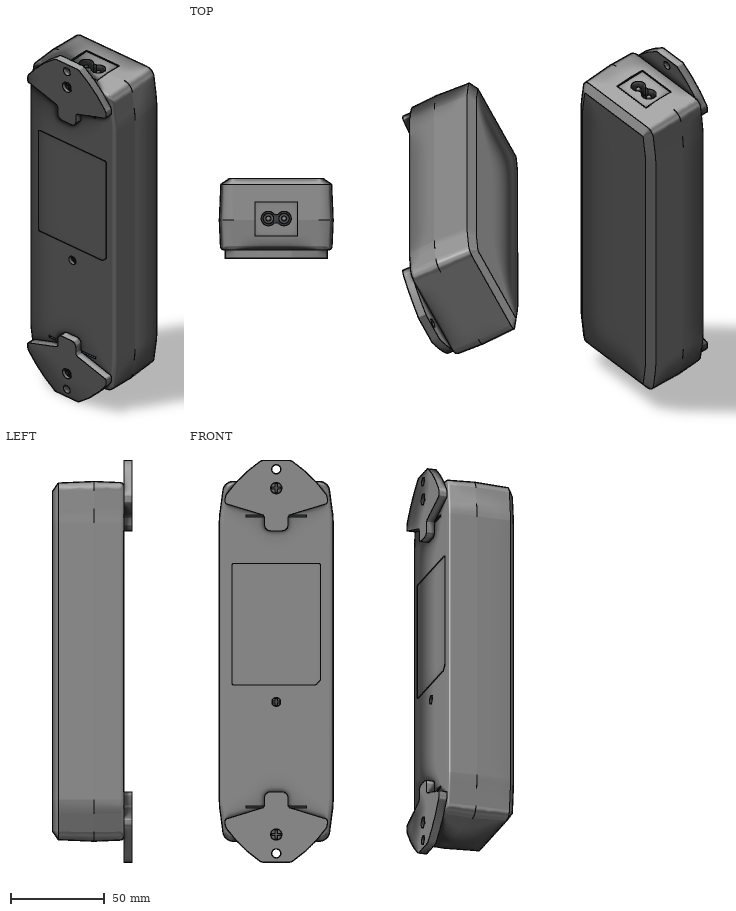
import cadquery as cq
import math

LENGTH = 214.5
BRACKET_THICKNESS = 4.5
HOUSING_DEPTH = 38.2

HALF_WIDTH = 30.5
HALF_HEIGHT = 96.1
STRAIGHT_END_Z = 74.0
BEND_END = (29.8, 81.3)
CORNER_START = (28.5, 91.2)
CORNER_END_X = 23.0
PARTING_Y = 15.9
DRAFT_ANGLE = 2.5

FRONT_FILLET = 2.0
BACK_CHAMFER_INSET = 4.5
BACK_CHAMFER_DEPTH = 3.2

LABEL_WIDTH = 47.2
LABEL_TOP_Z = 52.4
LABEL_BOTTOM_Z = -12.7
LABEL_CHAMFER = 2.5
LABEL_FILLET = 1.0
LABEL_DEPTH = 0.2

SLOT_WIDTH = 32.2
SLOT_HEIGHT = 1.0
SLOT_DEPTH = 2.1
SLOT_Z = 77.7

INLET_WIDTH = 22.7
INLET_Y_MIN = 7.3
INLET_Y_MAX = 25.5
INLET_FACE_Z = 95.0
SOCKET_Y = 16.7
SOCKET_RADIUS = 3.9
SOCKET_NECK = 4.5
SOCKET_DEPTH = 8.5
PIN_SPACING = 8.4
COLLAR_RADIUS = 2.8
COLLAR_HEIGHT = 2.1
PIN_RADIUS = 1.3
PIN_HEIGHT = 7.0
PIN_TIP_FILLET = 0.6

HOUSING_SCREW_Z = -21.7
HOUSING_SCREW_DIAMETER = 4.7
BRACKET_SCREW_Z = 92.5
BRACKET_SCREW_DIAMETER = 6.0
SCREW_RECESS_DEPTH = 2.1
CROSS_SLOT_WIDTH = 1.0
CROSS_SLOT_DEPTH = 1.0
CROSS_SPAN_RATIO = 0.8

TIP_HALF_WIDTH = 8.0
SHOULDER_HALF_WIDTH = 27.3
SHOULDER_TOP_Z = 88.2
SHOULDER_BOTTOM_Z = 84.3
TAB_HALF_WIDTH = 6.2
TAB_ROOT_Z = 77.9
TAB_END_Z = 69.7
EDGE_BULGE = 1.3
TIP_FILLET = 3.2
SHOULDER_TOP_FILLET = 4.3
SHOULDER_BOTTOM_FILLET = 1.0
TAB_FILLET = 3.0
TAB_ROOT_FILLET = 2.1
MOUNT_HOLE_Z = 102.5
MOUNT_HOLE_DIAMETER = 4.7


def housing_outline(workplane):
    """Long rounded outline whose sides bend inwards near both ends."""
    bend_x, bend_z = BEND_END
    corner_x, corner_z = CORNER_START
    return (
        workplane.moveTo(HALF_WIDTH, -STRAIGHT_END_Z)
        .lineTo(HALF_WIDTH, STRAIGHT_END_Z)
        .tangentArcPoint((bend_x, bend_z), relative=False)
        .lineTo(corner_x, corner_z)
        .tangentArcPoint((CORNER_END_X, HALF_HEIGHT), relative=False)
        .lineTo(-CORNER_END_X, HALF_HEIGHT)
        .tangentArcPoint((-corner_x, corner_z), relative=False)
        .lineTo(-bend_x, bend_z)
        .tangentArcPoint((-HALF_WIDTH, STRAIGHT_END_Z), relative=False)
        .lineTo(-HALF_WIDTH, -STRAIGHT_END_Z)
        .tangentArcPoint((-bend_x, -bend_z), relative=False)
        .lineTo(-corner_x, -corner_z)
        .tangentArcPoint((-CORNER_END_X, -HALF_HEIGHT), relative=False)
        .lineTo(CORNER_END_X, -HALF_HEIGHT)
        .tangentArcPoint((corner_x, -corner_z), relative=False)
        .lineTo(bend_x, -bend_z)
        .tangentArcPoint((HALF_WIDTH, -STRAIGHT_END_Z), relative=False)
        .close()
    )


def parting_plane(normal_y):
    return cq.Workplane(cq.Plane((0, PARTING_Y, 0), xDir=(1, 0, 0), normal=(0, normal_y, 0)))


def front_shell():
    shell = housing_outline(parting_plane(-1)).extrude(PARTING_Y, taper=DRAFT_ANGLE)
    return shell.faces("<Y").edges().fillet(FRONT_FILLET)


def back_shell():
    """Drafted shell with a flat back face chamfered all round."""
    shell = housing_outline(parting_plane(1)).extrude(HOUSING_DEPTH - PARTING_Y, taper=DRAFT_ANGLE)
    return shell.faces(">Y").edges().chamfer(BACK_CHAMFER_DEPTH, BACK_CHAMFER_INSET)


def screw_recess(diameter, face_y, z):
    """Round recess into +Y with a cross drive below its floor."""
    recess = cq.Workplane("XZ", origin=(0, face_y, z)).circle(diameter / 2).extrude(-SCREW_RECESS_DEPTH)
    floor = cq.Workplane("XZ", origin=(0, face_y + SCREW_RECESS_DEPTH, z))
    span = CROSS_SPAN_RATIO * diameter
    for slot_x, slot_z in ((span, CROSS_SLOT_WIDTH), (CROSS_SLOT_WIDTH, span)):
        recess = recess.union(floor.rect(slot_x, slot_z).extrude(-CROSS_SLOT_DEPTH))
    return recess


def label_recess():
    height = LABEL_TOP_Z - LABEL_BOTTOM_Z
    recess = cq.Workplane("XY").box(LABEL_WIDTH, 2 * LABEL_DEPTH, height)
    recess = recess.edges("|Y and >X and <Z").chamfer(LABEL_CHAMFER)
    recess = recess.edges("|Y and (>Z or (<X and <Z))").fillet(LABEL_FILLET)
    return recess.translate((0, 0, (LABEL_TOP_Z + LABEL_BOTTOM_Z) / 2))


def latch_slot(z):
    return cq.Workplane("XZ", origin=(0, 0, z)).rect(SLOT_WIDTH, SLOT_HEIGHT).extrude(-SLOT_DEPTH)


def inlet_recess():
    """Flat rectangular seat with a figure-eight socket sunk below it."""
    seat = (
        cq.Workplane("XY", origin=(0, (INLET_Y_MIN + INLET_Y_MAX) / 2, INLET_FACE_Z))
        .rect(INLET_WIDTH, INLET_Y_MAX - INLET_Y_MIN)
        .extrude(HALF_HEIGHT - INLET_FACE_Z)
    )
    face = cq.Workplane("XY", origin=(0, SOCKET_Y, INLET_FACE_Z))
    socket = face.rect(PIN_SPACING, SOCKET_NECK).extrude(-SOCKET_DEPTH)
    lobes = face.rarray(PIN_SPACING, 2.1, 2, 1).circle(SOCKET_RADIUS).extrude(-SOCKET_DEPTH)
    return seat.union(socket).union(lobes)


def inlet_pins():
    """Two round-tipped contact pins, each standing on a collar at the socket floor."""
    floor = cq.Workplane("XY", origin=(0, SOCKET_Y, INLET_FACE_Z - SOCKET_DEPTH)).rarray(PIN_SPACING, 2.1, 2, 1)
    collars = floor.circle(COLLAR_RADIUS).extrude(COLLAR_HEIGHT)
    pins = floor.circle(PIN_RADIUS).extrude(PIN_HEIGHT).faces(">Z").edges().fillet(PIN_TIP_FILLET)
    return collars.union(pins)


def make_housing():
    body = front_shell().union(back_shell())
    body = body.cut(label_recess())
    body = body.cut(screw_recess(HOUSING_SCREW_DIAMETER, 0, HOUSING_SCREW_Z))
    for z in (SLOT_Z, -SLOT_Z):
        body = body.cut(latch_slot(z))
    return body.cut(inlet_recess()).union(inlet_pins())


def bulged_midpoint(start, end, bulge):
    """Middle of a segment, moved sideways to the left of its direction."""
    dx = end[0] - start[0]
    dz = end[1] - start[1]
    length = math.hypot(dx, dz)
    return (
        (start[0] + end[0]) / 2 - bulge * dz / length,
        (start[1] + end[1]) / 2 + bulge * dx / length,
    )


def round_pair(plate, x, z, radius):
    """Round the two mirrored corners of the plate at (+x, z) and (-x, z)."""
    middle_y = -BRACKET_THICKNESS / 2
    for side in (1, -1):
        corner = cq.selectors.NearestToPointSelector((side * x, middle_y, z))
        plate = plate.edges("|Y").edges(corner).fillet(radius)
    return plate


def make_bracket():
    """Upper mounting ear: arched tip, shoulders and a tongue pointing to the middle."""
    tip_z = LENGTH / 2
    tip_right = (TIP_HALF_WIDTH, tip_z)
    tip_left = (-TIP_HALF_WIDTH, tip_z)
    shoulder_right = (SHOULDER_HALF_WIDTH, SHOULDER_TOP_Z)
    shoulder_left = (-SHOULDER_HALF_WIDTH, SHOULDER_TOP_Z)
    plate = (
        cq.Workplane("XZ")
        .moveTo(*tip_left)
        .lineTo(*tip_right)
        .threePointArc(bulged_midpoint(tip_right, shoulder_right, EDGE_BULGE), shoulder_right)
        .lineTo(SHOULDER_HALF_WIDTH, SHOULDER_BOTTOM_Z)
        .lineTo(TAB_HALF_WIDTH, TAB_ROOT_Z)
        .lineTo(TAB_HALF_WIDTH, TAB_END_Z)
        .lineTo(-TAB_HALF_WIDTH, TAB_END_Z)
        .lineTo(-TAB_HALF_WIDTH, TAB_ROOT_Z)
        .lineTo(-SHOULDER_HALF_WIDTH, SHOULDER_BOTTOM_Z)
        .lineTo(*shoulder_left)
        .threePointArc(bulged_midpoint(shoulder_left, tip_left, EDGE_BULGE), tip_left)
        .close()
        .extrude(BRACKET_THICKNESS)
    )
    plate = round_pair(plate, TIP_HALF_WIDTH, tip_z, TIP_FILLET)
    plate = round_pair(plate, SHOULDER_HALF_WIDTH, SHOULDER_TOP_Z, SHOULDER_TOP_FILLET)
    plate = round_pair(plate, SHOULDER_HALF_WIDTH, SHOULDER_BOTTOM_Z, SHOULDER_BOTTOM_FILLET)
    plate = round_pair(plate, TAB_HALF_WIDTH, TAB_ROOT_Z, TAB_ROOT_FILLET)
    plate = round_pair(plate, TAB_HALF_WIDTH, TAB_END_Z, TAB_FILLET)
    mount_hole = cq.Workplane("XZ", origin=(0, 0, MOUNT_HOLE_Z)).circle(MOUNT_HOLE_DIAMETER / 2)
    plate = plate.cut(mount_hole.extrude(BRACKET_THICKNESS))
    return plate.cut(screw_recess(BRACKET_SCREW_DIAMETER, -BRACKET_THICKNESS, BRACKET_SCREW_Z))


housing = make_housing()
upper_bracket = make_bracket()
brackets = [upper_bracket.rotate((0, 0, 0), (0, 1, 0), angle) for angle in (0, 180)]

result = cq.Compound.makeCompound([housing.val(), *[bracket.val() for bracket in brackets]])